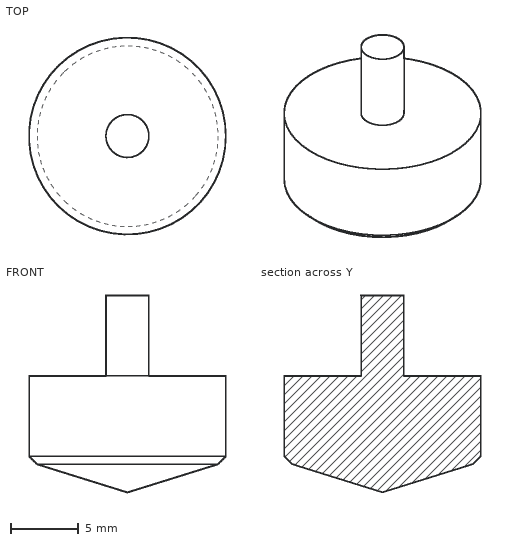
import cadquery as cq

total_height = 14.7
body_diameter = 14.7
stem_diameter = 3.2
stem_height = 6.0
body_height = 6.0
chamfer = 0.6

body_radius = body_diameter / 2
stem_radius = stem_diameter / 2
cone_radius = body_radius - chamfer
body_top = total_height - stem_height
wall_bottom = body_top - body_height
cone_top = wall_bottom - chamfer

half_profile = (
    cq.Workplane("XZ")
    .moveTo(0, 0)
    .lineTo(cone_radius, cone_top)
    .lineTo(body_radius, wall_bottom)
    .lineTo(body_radius, body_top)
    .lineTo(stem_radius, body_top)
    .lineTo(stem_radius, total_height)
    .lineTo(0, total_height)
    .close()
)

result = half_profile.revolve(360, (0, 0), (0, 1))